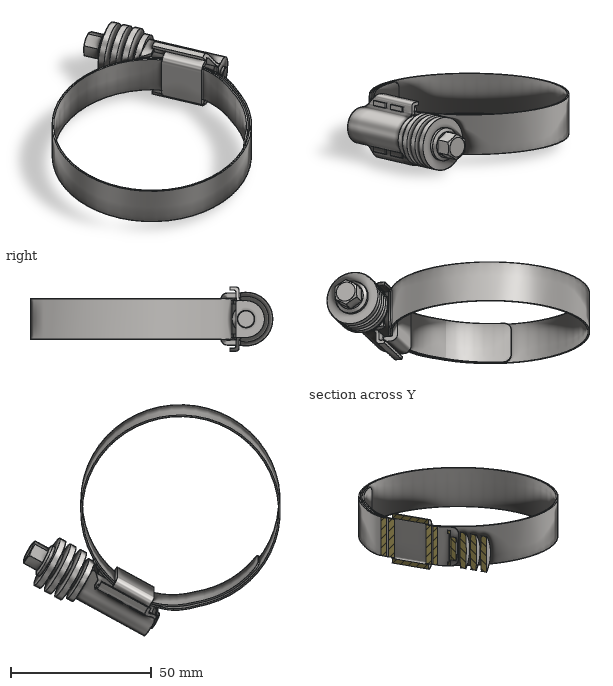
import cadquery as cq
import math


OVERALL_LENGTH = 86.2

BAND_RADIUS = 35.5
BAND_THICKNESS = 0.6
BAND_WIDTH = 14.5
BAND_END_ROUND = 2.6
RING_MID_RADIUS = BAND_RADIUS - BAND_THICKNESS / 2
LAYER_GAP = 0.04
TAIL_MID_RADIUS = RING_MID_RADIUS + BAND_THICKNESS + LAYER_GAP
INNER_END_MID_RADIUS = 33.95
BULGE_MID_RADIUS = 36.2
INNER_END_ANGLE = 5.7
INNER_STEP_START_ANGLE = 46
LAYER_CROSSING_ANGLE = 80
BULGE_ANGLE = 67
RING_EXIT_ANGLE = 45
TAIL_END_ANGLE = 120

SCREW_Y = 41.1
SHAFT_RADIUS = 4.9
HEX_ACROSS_FLATS = 8.1
HEX_CORNER_RADIUS = HEX_ACROSS_FLATS / math.sqrt(3)
HEX_START_X = -38.9
HEX_CHAMFER_LENGTH = 0.4
HEX_FACE_RADIUS = 3.5
COLLAR_START_X = -33.1
COLLAR_RADIUS = 5.95
COLLAR_CONE_LENGTH = 0.7
DISC_START_X = -31.3
DISC_RADIUS = OVERALL_LENGTH - BAND_RADIUS - SCREW_Y
DISC_RIM = 2.2
DISC_COUNT = 3
DISC_ROW_SPAN = 8.5
DISC_PITCH = DISC_ROW_SPAN / (DISC_COUNT - 1)
FLANK_FLARE = 0.5
STOP_RADIUS = 8.1
STOP_RIM = 2.15
TIP_CONE_START_X = 9.9
TIP_CONE_END_RADIUS = 3.5
NUB_RADIUS = 3.1
NUB_END_X = 13.1
NUB_CHAMFER = 0.2

HOUSING_START_X = -16.55
HOUSING_END_X = 12.0
HOUSING_RADIUS = 6.55
SHEET = 1.2
END_WALL = 0.6
TONGUE_BOTTOM_Y = 34.3
TONGUE_LENGTH = 1.2
TONGUE_STEP = 2.3
FLANGE_START_X = -12.2
FLANGE_TOP_Y = 38.7
FLANGE_BOTTOM_Y = FLANGE_TOP_Y - SHEET
FLANGE_BEND = 1.4
BEND_START_Y = FLANGE_TOP_Y + FLANGE_BEND
HOOK_SPAN = 23.0
HOOK_HALF_SPAN = HOOK_SPAN / 2
HOOK_TIP_Y = 35.4
HOOK_INNER_BEND = 0.7
HOOK_STRAIGHT_END_X = 6.8

SADDLE_START_X = -7.6
SADDLE_END_X = 7.4
SADDLE_HALF_WIDTH = 9.3
SADDLE_THICKNESS = 1.8
SADDLE_BOTTOM_Y = 32.15
SADDLE_CORNER = 2.4
TAB_TOP_Y = 39.2
TAB_LENGTH = 6.1


def polar(radius, angle):
    """Point at a radius and an angle in degrees around the hose axis."""
    turn = math.radians(angle)
    return cq.Vector(radius * math.cos(turn), radius * math.sin(turn))


def along(angle):
    """Anticlockwise direction of travel at an angle around the hose axis."""
    return polar(1, angle + 90)


def ring_arc(radius, start, end):
    """Arc around the hose axis."""
    middle = (start + end) / 2
    return cq.Edge.makeThreePointArc(polar(radius, start), polar(radius, middle), polar(radius, end))


def blend(*stations):
    """Smooth curve through (radius, angle) stations, leaving and arriving along the ring."""
    points = [polar(radius, angle) for radius, angle in stations]
    ends = [along(stations[0][1]), along(stations[-1][1])]
    return cq.Edge.makeSpline(points, tangents=ends)


def make_band():
    lap = 360
    path = cq.Wire.assembleEdges([
        ring_arc(INNER_END_MID_RADIUS, INNER_END_ANGLE, INNER_STEP_START_ANGLE),
        blend((INNER_END_MID_RADIUS, INNER_STEP_START_ANGLE), (RING_MID_RADIUS, LAYER_CROSSING_ANGLE)),
        ring_arc(RING_MID_RADIUS, LAYER_CROSSING_ANGLE, lap + RING_EXIT_ANGLE),
        blend(
            (RING_MID_RADIUS, lap + RING_EXIT_ANGLE),
            (BULGE_MID_RADIUS, lap + BULGE_ANGLE),
            (TAIL_MID_RADIUS, lap + LAYER_CROSSING_ANGLE),
        ),
        ring_arc(TAIL_MID_RADIUS, lap + LAYER_CROSSING_ANGLE, lap + TAIL_END_ANGLE),
    ])
    start = polar(INNER_END_MID_RADIUS, INNER_END_ANGLE)
    section = cq.Plane(origin=start, xDir=polar(1, INNER_END_ANGLE), normal=along(INNER_END_ANGLE))
    strip = cq.Workplane(section).rect(BAND_THICKNESS, BAND_WIDTH).sweep(cq.Workplane(path))
    for radius, angle in ((INNER_END_MID_RADIUS, INNER_END_ANGLE), (TAIL_MID_RADIUS, TAIL_END_ANGLE)):
        end = polar(radius, angle)
        for side in (1, -1):
            corner = (end.x, end.y, side * BAND_WIDTH / 2)
            strip = strip.edges(cq.NearestToPointSelector(corner)).fillet(BAND_END_ROUND)
    return strip


def disc_points(start, rim, radius, flare_before, flare_after):
    """Half section of a disc whose flanks flare outward from its rim down to the shaft."""
    end = start + rim
    return [
        (start - flare_before, SHAFT_RADIUS),
        (start, radius),
        (end, radius),
        (end + flare_after, SHAFT_RADIUS),
    ]


def make_screw():
    wall_inner_x = HOUSING_END_X - END_WALL
    points = [
        (COLLAR_START_X, 0),
        (COLLAR_START_X, HEX_CORNER_RADIUS),
        (COLLAR_START_X + COLLAR_CONE_LENGTH, COLLAR_RADIUS),
        (DISC_START_X, COLLAR_RADIUS),
    ]
    points += disc_points(DISC_START_X, DISC_RIM, DISC_RADIUS, 0, FLANK_FLARE)[1:]
    for index in range(1, DISC_COUNT):
        start = DISC_START_X + index * DISC_PITCH
        points += disc_points(start, DISC_RIM, DISC_RADIUS, FLANK_FLARE, FLANK_FLARE)
    points += disc_points(HOUSING_START_X - STOP_RIM, STOP_RIM, STOP_RADIUS, FLANK_FLARE, 0)
    points += [
        (TIP_CONE_START_X, SHAFT_RADIUS),
        (wall_inner_x, TIP_CONE_END_RADIUS),
        (wall_inner_x, NUB_RADIUS),
        (NUB_END_X - NUB_CHAMFER, NUB_RADIUS),
        (NUB_END_X, NUB_RADIUS - NUB_CHAMFER),
        (NUB_END_X, 0),
    ]
    axis = cq.Workplane("XY", origin=(0, SCREW_Y, 0))
    turned = axis.polyline(points).close().revolve(360, (0, 0), (1, 0))

    hex_length = COLLAR_START_X - HEX_START_X
    head = (
        cq.Workplane("YZ", origin=(HEX_START_X, SCREW_Y, 0))
        .polygon(6, 2 * HEX_CORNER_RADIUS)
        .extrude(hex_length)
        .rotate((0, SCREW_Y, 0), (1, SCREW_Y, 0), 90)
    )
    bevel = (
        axis.moveTo(HEX_START_X, 0)
        .lineTo(HEX_START_X, HEX_FACE_RADIUS)
        .lineTo(HEX_START_X + HEX_CHAMFER_LENGTH, HEX_CORNER_RADIUS)
        .lineTo(COLLAR_START_X, HEX_CORNER_RADIUS)
        .lineTo(COLLAR_START_X, 0)
        .close()
        .revolve(360, (0, 0), (1, 0))
    )
    return turned.union(head.intersect(bevel))


def arch(radius, bottom_y, start, length):
    """Round-topped prism along X, centred on the screw and reaching down to bottom_y."""
    return (
        cq.Workplane("YZ", origin=(start, 0, 0))
        .moveTo(bottom_y, -radius)
        .lineTo(SCREW_Y, -radius)
        .threePointArc((SCREW_Y + radius, 0), (SCREW_Y, radius))
        .lineTo(bottom_y, radius)
        .close()
        .extrude(length)
    )


def make_flange():
    """Hooked flange on the +Z side, bevelled at 45 degrees toward the +X end."""
    inner_z = HOUSING_RADIUS - SHEET
    outer_bend = FLANGE_BEND + SHEET
    hook_inner_z = HOOK_HALF_SPAN - SHEET
    flange = (
        cq.Workplane("YZ", origin=(FLANGE_START_X, 0, 0))
        .moveTo(BEND_START_Y, inner_z)
        .lineTo(BEND_START_Y, HOUSING_RADIUS)
        .radiusArc((FLANGE_TOP_Y, HOUSING_RADIUS + FLANGE_BEND), FLANGE_BEND)
        .lineTo(FLANGE_TOP_Y, HOOK_HALF_SPAN - FLANGE_BEND)
        .radiusArc((FLANGE_TOP_Y - FLANGE_BEND, HOOK_HALF_SPAN), -FLANGE_BEND)
        .lineTo(HOOK_TIP_Y, HOOK_HALF_SPAN)
        .lineTo(HOOK_TIP_Y, hook_inner_z)
        .lineTo(FLANGE_BOTTOM_Y - HOOK_INNER_BEND, hook_inner_z)
        .radiusArc((FLANGE_BOTTOM_Y, hook_inner_z - HOOK_INNER_BEND), HOOK_INNER_BEND)
        .lineTo(FLANGE_BOTTOM_Y, inner_z + outer_bend)
        .radiusArc((BEND_START_Y, inner_z), -outer_bend)
        .close()
        .extrude(HOUSING_END_X - FLANGE_START_X)
    )
    bevel_length = HOUSING_END_X - HOOK_STRAIGHT_END_X
    plan = (
        cq.Workplane("XY")
        .polyline([
            (FLANGE_START_X, 0),
            (HOUSING_END_X, 0),
            (HOUSING_END_X, HOOK_HALF_SPAN - bevel_length),
            (HOOK_STRAIGHT_END_X, HOOK_HALF_SPAN),
            (FLANGE_START_X, HOOK_HALF_SPAN),
        ])
        .close()
        .extrude(-SCREW_Y)
        .rotate((0, 0, 0), (1, 0, 0), 90)
    )
    return flange.intersect(plan)


def make_housing():
    length = HOUSING_END_X - HOUSING_START_X
    inner_radius = HOUSING_RADIUS - SHEET
    outer = arch(HOUSING_RADIUS, TONGUE_BOTTOM_Y, HOUSING_START_X, length)
    inside = arch(inner_radius, TONGUE_BOTTOM_Y, HOUSING_START_X + END_WALL, length - 2 * END_WALL)
    shell = outer.cut(inside)

    tongue_end_x = HOUSING_START_X + TONGUE_LENGTH
    tongue_back_x = tongue_end_x + TONGUE_STEP
    top_y = SCREW_Y + HOUSING_RADIUS
    outline = (
        cq.Workplane("XY", origin=(0, 0, -HOUSING_RADIUS))
        .polyline([
            (HOUSING_START_X, top_y),
            (HOUSING_START_X, TONGUE_BOTTOM_Y),
            (tongue_end_x, TONGUE_BOTTOM_Y),
            (tongue_back_x, TONGUE_BOTTOM_Y + TONGUE_STEP),
            (tongue_back_x, BEND_START_Y - (FLANGE_START_X - tongue_back_x)),
            (FLANGE_START_X, BEND_START_Y),
            (HOUSING_END_X - END_WALL, BEND_START_Y),
            (HOUSING_END_X - END_WALL, FLANGE_BOTTOM_Y),
            (HOUSING_END_X, FLANGE_BOTTOM_Y),
            (HOUSING_END_X, top_y),
        ])
        .close()
        .extrude(2 * HOUSING_RADIUS)
    )
    flange = make_flange()
    return shell.intersect(outline).union(flange).union(flange.mirror("XY"))


def saddle_box(length, bottom_y, top_y, half_width):
    """Box centred along the saddle between two heights in Y."""
    centre = ((SADDLE_START_X + SADDLE_END_X) / 2, (bottom_y + top_y) / 2, 0)
    return cq.Workplane("XY", origin=centre).box(length, top_y - bottom_y, 2 * half_width)


def make_saddle():
    length = SADDLE_END_X - SADDLE_START_X
    inner_half_width = SADDLE_HALF_WIDTH - SADDLE_THICKNESS
    inner_bottom_y = SADDLE_BOTTOM_Y + SADDLE_THICKNESS
    bottom_corners = "|X and <Y"
    outer = saddle_box(length, SADDLE_BOTTOM_Y, TAB_TOP_Y, SADDLE_HALF_WIDTH)
    outer = outer.edges(bottom_corners).fillet(SADDLE_CORNER)
    inner = saddle_box(length, inner_bottom_y, TAB_TOP_Y, inner_half_width)
    inner = inner.edges(bottom_corners).fillet(SADDLE_CORNER - SADDLE_THICKNESS)
    tab_gap = saddle_box(length - 2 * TAB_LENGTH, FLANGE_BOTTOM_Y, TAB_TOP_Y, SADDLE_HALF_WIDTH)
    return outer.cut(inner).cut(tab_gap)


band = make_band()
screw = make_screw()
saddle = make_saddle()
housing = make_housing().cut(screw).cut(saddle)

result = cq.Compound.makeCompound([
    band.solids().val(),
    screw.solids().val(),
    saddle.solids().val(),
    housing.solids().val(),
])